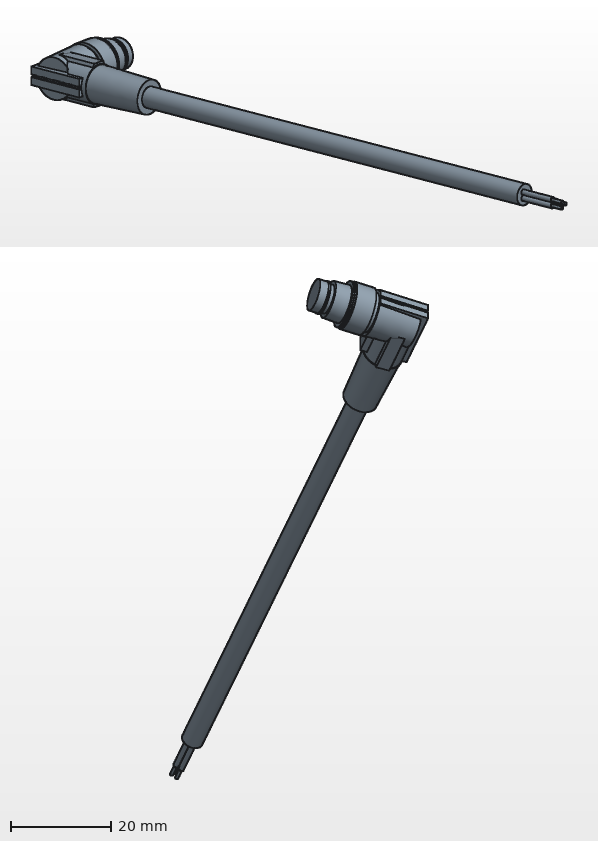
import cadquery as cq
import math


plug_lean = 4.0
body_bottom = -3.2
body_top = 6.0
body_bottom_radius = 4.5
body_top_radius = 4.9
neck_radius = 4.2
ring_bottom = 7.0
ring_top = 11.1
ring_radius = 5.0
ring_groove_radius = 4.7
ring_flange_radius = 4.9
ring_flange_bottom = 11.5
ring_flange_top = 11.9
shank_top = 15.2
shank_bottom_radius = 4.0
shank_top_radius = 3.9
tip_neck_radius = 3.0
tip_barb_radius = 3.5
tip_barb_bottom = 16.2
tip_barb_top = 16.6
tip_radius = 3.3
tip_top = 18.5

rib_width = 3.9
rib_bottom = -4.7
rib_back = 4.9
sleeve_rib_end = 8.3
rib_groove_width = 0.5
rib_groove_depth = 0.4
upper_rib_height = 5.1

side_rib_end = 9.3
side_rib_height = 4.6
side_rib_crest_width = 2.8
side_rib_foot_width = 3.9
side_rib_foot_height = 3.0

collar_radius = 4.2
collar_end = 9.4
sleeve_start_radius = 4.0
sleeve_end_radius = 3.6
sleeve_end = 22.7
cable_radius = 2.2
cable_end = 122.5
wire_radius = 0.58
wire_circle_radius = 0.72
wire_count = 3
wire_end = 130.3
strand_radius = 0.35
overall_length = 138.6

lean = math.radians(plug_lean)
left_end = -ring_radius * math.cos(lean) - ring_top * math.sin(lean)
strand_end = left_end + overall_length


def lean_plug(shape):
    """Turn a shape built around the Y axis onto the plug axis."""
    return shape.rotate((0, 0, 0), (0, 0, 1), plug_lean)


def block(x_min, x_max, y_min, y_max, width):
    """Box centred on Z = 0."""
    return (
        cq.Workplane("XY")
        .box(x_max - x_min, y_max - y_min, width, centered=(False, False, True))
        .translate((x_min, y_min, 0))
    )


def rod(x_start, x_end, radius, y=0, z=0):
    """Round bar along X."""
    return (
        cq.Workplane("YZ", origin=(x_start, 0, 0))
        .center(y, z)
        .circle(radius)
        .extrude(x_end - x_start)
    )


def make_plug():
    """Elbow body, coupling ring and tip, turned in one profile."""
    profile = [
        (0, body_bottom),
        (body_bottom_radius, body_bottom),
        (body_top_radius, body_top),
        (neck_radius, body_top),
        (neck_radius, ring_bottom),
        (ring_radius, ring_bottom),
        (ring_radius, ring_top),
        (ring_groove_radius, ring_top),
        (ring_groove_radius, ring_flange_bottom),
        (ring_flange_radius, ring_flange_bottom),
        (ring_flange_radius, ring_flange_top),
        (shank_bottom_radius, ring_flange_top),
        (shank_top_radius, shank_top),
        (tip_neck_radius, shank_top),
        (tip_neck_radius, tip_barb_bottom),
        (tip_barb_radius, tip_barb_bottom),
        (tip_barb_radius, tip_barb_top),
        (tip_radius, tip_barb_top),
        (tip_radius, tip_top),
        (0, tip_top),
    ]
    turned = cq.Workplane("XY").polyline(profile).close().revolve(360, (0, 0, 0), (0, 1, 0))
    return lean_plug(turned)


def make_sleeve():
    """Collar at the elbow, then the tapered strain relief, clear of the flat end of the body."""
    profile = [
        (0, 0),
        (0, collar_radius),
        (collar_end, collar_radius),
        (collar_end, sleeve_start_radius),
        (sleeve_end, sleeve_end_radius),
        (sleeve_end, 0),
    ]
    turned = cq.Workplane("XY").polyline(profile).close().revolve(360, (0, 0, 0), (1, 0, 0))
    below_body = (
        cq.Workplane("XZ", origin=(0, body_bottom, 0))
        .circle(body_bottom_radius)
        .extrude(collar_radius)
    )
    return turned.cut(lean_plug(below_body))


def make_grip():
    """Rib running down the back of the body, under the elbow and along the sleeve."""
    leaning = lean_plug(block(-rib_back, rib_back, 2 * rib_bottom, body_top, rib_width))
    above_floor = block(2 * left_end, sleeve_rib_end, rib_bottom, ring_bottom, rib_width)
    upright = leaning.intersect(above_floor)
    along_sleeve = block(0, sleeve_rib_end, rib_bottom, upper_rib_height, rib_width)
    back_groove = lean_plug(
        block(-2 * rib_back, rib_groove_depth - rib_back, 2 * rib_bottom, body_top, rib_groove_width)
    )
    floor_groove = block(
        left_end, sleeve_rib_end, 2 * rib_bottom, rib_bottom + rib_groove_depth, rib_groove_width
    )
    return upright.union(along_sleeve).cut(back_groove).cut(floor_groove)


def make_side_ribs():
    """Drafted ribs on the +Z and -Z sides, from the plug axis along the sleeve."""
    crest = side_rib_crest_width / 2
    foot = side_rib_foot_width / 2
    outline = [
        (foot, -side_rib_foot_height),
        (crest, -side_rib_height),
        (-crest, -side_rib_height),
        (-foot, -side_rib_foot_height),
        (-foot, side_rib_foot_height),
        (-crest, side_rib_height),
        (crest, side_rib_height),
        (foot, side_rib_foot_height),
    ]
    return cq.Workplane("YZ").polyline(outline).close().extrude(side_rib_end)


result = make_plug().union(make_sleeve()).union(make_grip()).union(make_side_ribs())
result = result.union(rod(0, cable_end, cable_radius))

wire_start = cable_end - cable_radius
for i in range(wire_count):
    angle = 2 * math.pi * i / wire_count
    wire_y = wire_circle_radius * math.cos(angle)
    wire_z = wire_circle_radius * math.sin(angle)
    result = result.union(rod(wire_start, wire_end, wire_radius, wire_y, wire_z))
    result = result.union(rod(wire_start, strand_end, strand_radius, wire_y, wire_z))